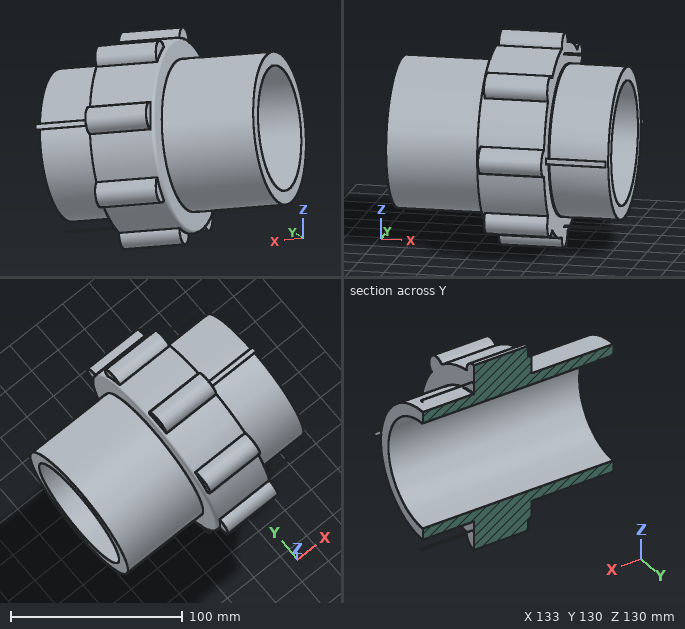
import cadquery as cq

length = 133.0
pipe_diameter = 90.0
bore_diameter = 73.5

nut_start = 59.5
nut_end = 97.2
nut_diameter = 115.2
collar_width = 2.5
collar_fillet = 2.0
overall_diameter = 130.0

lobe_count = 8
lobe_radius = 8.1
lobe_centre_radius = overall_diameter / 2 - lobe_radius

strip_count = 4
strip_outer_diameter = 104.3
strip_width = 3.5
strip_thickness = 0.1
strip_root_depth = 2.5

groove_width = 0.5
groove_depth = 0.3


def cylinder(diameter, start, end):
    """Solid cylinder along X between two stations."""
    return cq.Workplane("YZ", origin=(start, 0, 0)).circle(diameter / 2).extrude(end - start)


def ring(outer_diameter, inner_diameter, start, end):
    """Hollow cylinder along X between two stations."""
    return cylinder(outer_diameter, start, end).cut(cylinder(inner_diameter, start, end))


def make_nut():
    """Round nut whose left rim is rounded, with grip lobes behind the rim."""
    body = cylinder(nut_diameter, nut_start - collar_width, nut_end)
    body = body.faces("<X").edges().fillet(collar_fillet)
    lobes = (
        cq.Workplane("YZ", origin=(nut_start, 0, 0))
        .polarArray(lobe_centre_radius, 0, 360, lobe_count)
        .circle(lobe_radius)
        .extrude(nut_end - nut_start)
    )
    return body.union(lobes)


def make_strips():
    """Narrow, thin curved strips, rooted inside the nut."""
    root = nut_end - strip_root_depth
    shell = ring(strip_outer_diameter, strip_outer_diameter - 2 * strip_thickness, root, length)
    bars = cq.Workplane("YZ")
    for index in range(strip_count // 2):
        bars = bars.union(
            cq.Workplane("YZ", origin=(root, 0, 0))
            .transformed(rotate=(0, 0, index * 360 / strip_count))
            .rect(strip_outer_diameter, strip_width)
            .extrude(length - root)
        )
    return shell.intersect(bars)


pipe = cylinder(pipe_diameter, 0, length)
groove = ring(pipe_diameter, pipe_diameter - 2 * groove_depth, nut_end, nut_end + groove_width)
bore = cylinder(bore_diameter, 0, length)

result = pipe.cut(groove).union(make_nut()).union(make_strips()).cut(bore)